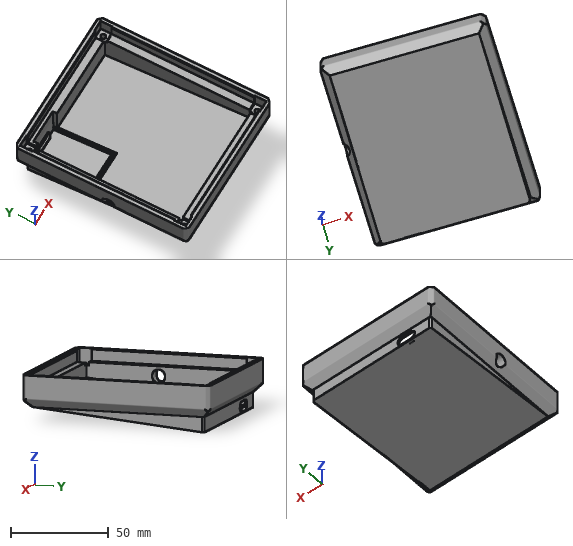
import cadquery as cq
import math

width = 88.3
length = 101.0
body_height = 17.0
tilt = 5.0
corner_cut = 2.0
edge_round = 1.0
belly_inset = 4.3
belly_height = 4.5

foot_width = width - 2 * belly_inset
foot_length = length - 2 * belly_inset
foot_back = foot_length / 2
foot_height = foot_length * math.tan(math.radians(tilt))
foot_corner = 1.0
foot_overlap = 1.0
top = foot_height + body_height
belly_top = foot_height + belly_height

opening_inset = 2.8
opening_chamfer = 0.4
rim_inset = opening_inset - opening_chamfer
ledge_depth = 6.3
cavity_inset = 7.5
floor_thickness = 3.0
bevel_angle = 45.0

seat_inset = 2.0
seat_size = 6.8
seat_depth = 7.9
screw_diameter = 2.8
screw_depth = 6.1
screw_inset = seat_inset + seat_size / 2

bay_center_x = -23.3
bay_width = 19.0
bay_front = -36.3
bay_back = -1.5
bay_floor = 1.6
curb_height = 0.8
curb_side = 0.6
curb_front = 1.1
curb_top = floor_thickness + curb_height
notch_width = bay_width + 2 * curb_side
notch_bend = 10.3
notch_reach = 8.1

slot_width = 11.4
slot_height = 5.5
slot_center = 3.3
slot_front = -2.3
slot_reach = 10.1

cable_diameter = 7.0
cable_y = -4.1
cable_depth = 11.4
cable_reach = 12.1


def block(x_size, y_size, z_low, z_high):
    """Upright block centred on the Z axis."""
    return cq.Workplane("XY").workplane(offset=z_low).rect(x_size, y_size).extrude(z_high - z_low)


def tilted_plane(height):
    """Plane parallel to the sloping floor, its local Y running downhill towards the back."""
    angle = math.radians(tilt)
    normal = (0, math.sin(angle), math.cos(angle))
    base = cq.Plane(origin=(0, foot_back, 0), xDir=(1, 0, 0), normal=normal)
    return cq.Workplane(base).workplane(offset=height)


def tilted_slab(z_low, z_high):
    """Slab parallel to the sloping floor, wider than the whole part."""
    return tilted_plane(z_low).rect(2 * width, 3 * length).extrude(z_high - z_low)


def tilted_block(x_size, y_front, y_back, z_low, z_high, taper=0):
    """Block standing square on the sloping floor, centred on the bay."""
    plane = tilted_plane(z_low).center(bay_center_x, (y_front + y_back) / 2)
    return plane.rect(x_size, y_back - y_front).extrude(z_high - z_low, taper=taper)


def belly_profile(plane, size, depth):
    """Side outline narrowing at the belly, extruded both ways."""
    half = size / 2
    points = [
        (-half, top),
        (-half, belly_top),
        (-half + belly_inset, foot_height),
        (half - belly_inset, foot_height),
        (half, belly_top),
        (half, top),
    ]
    return cq.Workplane(plane).polyline(points).close().extrude(depth / 2, both=True)


def make_shell():
    shell = belly_profile("XZ", width, length).intersect(belly_profile("YZ", length, width))
    octagon = block(width, length, 0, top).edges("|Z").chamfer(corner_cut)
    shell = shell.intersect(octagon)
    belly_line = cq.selectors.BoxSelector(
        (-width, -length, belly_top - edge_round), (width, length, belly_top + edge_round)
    )
    belly_edges = shell.edges("|X or |Y").edges(belly_line)
    return shell.edges("|Z").add(belly_edges).fillet(edge_round)


def make_foot():
    foot = block(foot_width, foot_length, 0, foot_height + foot_overlap)
    foot = foot.edges("|Z and >Y").chamfer(foot_corner)
    return foot.cut(tilted_slab(-foot_height, 0))


def make_opening():
    """Straight recess down to the ledge with a small chamfer round the rim."""
    opening = block(width - 2 * opening_inset, length - 2 * opening_inset, top - ledge_depth, top)
    flare = (
        cq.Workplane("XY")
        .workplane(offset=top)
        .rect(width - 2 * rim_inset, length - 2 * rim_inset)
        .extrude(-opening_chamfer, taper=bevel_angle)
    )
    return opening.union(flare)


def make_cavity():
    """Deep recess inside the ledge, ending on the sloping floor."""
    cavity = block(width - 2 * cavity_inset, length - 2 * cavity_inset, 0, top)
    return cavity.cut(tilted_slab(-foot_height, floor_thickness))


def make_seats():
    seat = block(seat_size, seat_size, top - seat_depth, top)
    screw_hole = (
        cq.Workplane("XY")
        .workplane(offset=top - seat_depth)
        .circle(screw_diameter / 2)
        .extrude(-screw_depth)
    )
    tool = seat.union(screw_hole)
    x_step = width - 2 * screw_inset
    y_step = length - 2 * screw_inset
    return cq.Workplane("XY").rect(x_step, y_step, forConstruction=True).vertices().eachpoint(
        lambda place: tool.val().located(place), combine=False
    )


def make_curb():
    """Bevelled frame standing on the floor round the bay."""
    front = bay_front - curb_front - curb_height
    base_width = notch_width + 2 * curb_height
    back = bay_back - curb_height
    return tilted_block(base_width, front, back, floor_thickness, curb_top, taper=bevel_angle)


def make_bay():
    pocket = tilted_block(bay_width, bay_front, bay_back, bay_floor, curb_top)
    low_notch = tilted_block(notch_width, bay_back - notch_reach, bay_back, curb_top, notch_bend)
    bend = tilted_plane(notch_bend).plane.toWorldCoords((0, bay_back, 0))
    high_notch = (
        cq.Workplane("XY")
        .workplane(offset=bend.z)
        .center(bay_center_x, bend.y - notch_reach / 2)
        .rect(notch_width, notch_reach)
        .extrude(top - ledge_depth - bend.z)
    )
    return pocket.union(low_notch).union(high_notch)


def make_slot():
    slot_plane = cq.Plane(
        origin=tilted_plane(slot_center).plane.toWorldCoords((bay_center_x, slot_front, 0)),
        xDir=(1, 0, 0),
        normal=tilted_plane(0).plane.yDir,
    )
    return cq.Workplane(slot_plane).slot2D(slot_width, slot_height).extrude(slot_reach)


def make_cable_hole():
    plane = cq.Workplane("YZ").workplane(offset=-width / 2).center(cable_y, top - cable_depth)
    return plane.circle(cable_diameter / 2).extrude(cable_reach)


result = (
    make_shell()
    .union(make_foot())
    .cut(make_opening())
    .cut(make_cavity())
    .cut(make_seats())
    .union(make_curb())
    .cut(make_bay())
    .cut(make_slot())
    .cut(make_cable_hole())
)